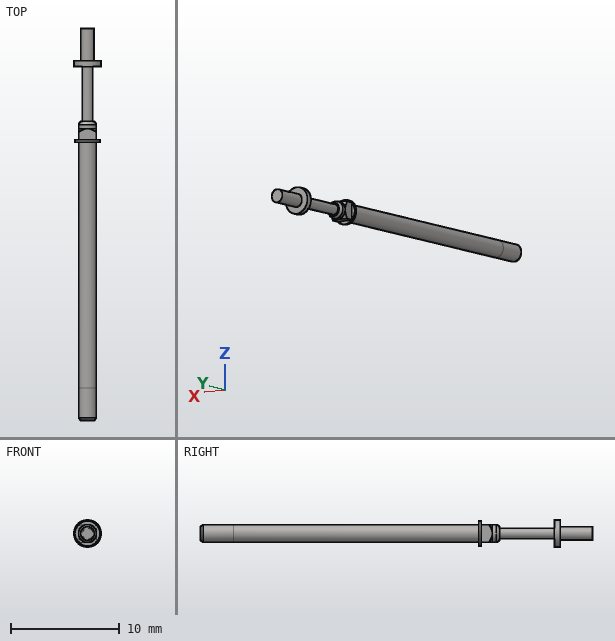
import cadquery as cq


barrel_diameter = 1.65
flange_diameter = 2.3
plunger_diameter = 1.0
tip_diameter = 1.24
collar_diameter = 2.5
nose_diameter = 1.25
nose_bulge = 0.035

total_length = 36.0
barrel_length = 25.55
tail_length = 3.0
tail_chamfer_length = 0.25
tail_chamfer_depth = 0.2
flange_thickness = 0.25
square_length = 1.0
neck_length = 0.34
nose_length = 0.32
tip_length = 2.95
collar_thickness = 0.55

square_width = barrel_diameter
lead_in_length = 0.3

square_front = flange_thickness + square_length
neck_front = square_front + neck_length
nose_front = neck_front + nose_length
tip_end = total_length - barrel_length
collar_front = tip_end - tip_length
collar_back = collar_front - collar_thickness


def rod(diameter, start, end):
    """Round rod about the Y axis between two stations."""
    return cq.Workplane("XZ", origin=(0, end, 0)).circle(diameter / 2).extrude(end - start)


def revolve_about_y(profile):
    """Solid of revolution from (radius, station) points."""
    return cq.Workplane("XY").polyline(profile).close().revolve(360, (0, 0, 0), (0, 1, 0))


def make_barrel():
    """Plain round barrel with a chamfered tail piece of the same diameter."""
    tail_start = tail_length - barrel_length
    radius = barrel_diameter / 2
    tail = revolve_about_y(
        [
            (0, -barrel_length),
            (radius - tail_chamfer_depth, -barrel_length),
            (radius, tail_chamfer_length - barrel_length),
            (radius, tail_start),
            (0, tail_start),
        ]
    )
    return rod(barrel_diameter, tail_start, 0).union(tail, clean=False)


def make_square():
    """Square section whose corners are trimmed by a cone towards the plunger."""
    square = (
        cq.Workplane("XZ", origin=(0, square_front, 0))
        .rect(square_width, square_width)
        .extrude(square_length)
    )
    envelope = revolve_about_y(
        [
            (0, flange_thickness),
            (flange_diameter / 2, flange_thickness),
            (flange_diameter / 2, square_front - lead_in_length),
            (barrel_diameter / 2, square_front),
            (0, square_front),
        ]
    )
    return square.intersect(envelope)


def make_mouth():
    """Short round neck with a rounded nose where the plunger enters the barrel."""
    return (
        cq.Workplane("XY")
        .moveTo(0, square_front)
        .lineTo(barrel_diameter / 2, square_front)
        .lineTo(barrel_diameter / 2, neck_front)
        .sagittaArc((nose_diameter / 2, nose_front), -nose_bulge)
        .lineTo(0, nose_front)
        .close()
        .revolve(360, (0, 0, 0), (0, 1, 0))
    )


def make_plunger():
    """Plunger shaft with a collar and a thicker contact tip."""
    shaft = rod(plunger_diameter, square_front, collar_front)
    collar = rod(collar_diameter, collar_back, collar_front)
    tip = rod(tip_diameter, collar_front, tip_end)
    return shaft.union(collar).union(tip)


result = (
    make_barrel()
    .union(rod(flange_diameter, 0, flange_thickness), clean=False)
    .union(make_square(), clean=False)
    .union(make_mouth(), clean=False)
    .union(make_plunger(), clean=False)
)